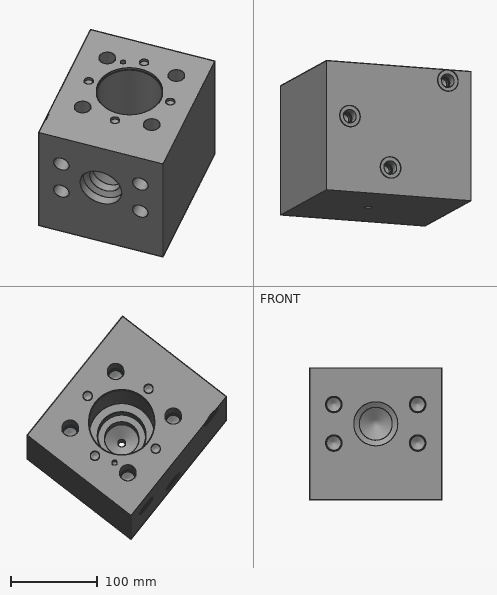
import cadquery as cq
import math

width = 152.4
length = 177.8
height = 152.4
front_y = -length / 2
top_z = height / 2
left_x = -width / 2

drill_half_angle = math.radians(59)

bore_x = 0.0
bore_y = 9.5
bore_mouth_diameter = 76.6
bore_mouth_depth = 2.8
bore_diameter = 75.4
bore_depth = 87.0
seat_mouth_diameter = 56.5
seat_diameter = 55.0
seat_depth = 104.9
pilot_diameter = 39.6
pilot_depth = 124.5
drain_diameter = 8.9

bolt_diameter = 19.0
bolt_thread_depth = 32.0
bolt_drill_diameter = 16.7
bolt_drill_depth = 40.0
top_bolt_offset = 42.3

dimple_diameter = 10.7
dimple_depth = 3.5
dimple_radius = 50.0
locating_diameter = 6.0
locating_depth = 8.0
locating_x = -23.0

flange_z = 11.7
flange_diameter = 50.9
flange_depth = 11.0
flange_drill_diameter = 38.0
flange_drill_depth = 25.8
flange_bolt_x = 48.4
flange_bolt_z = 22.2

spotface_diameter = 25.0
spotface_depth = 1.0
port_mouth_diameter = 15.6
port_taper_depth = 2.5
port_thread_diameter = 14.2
port_thread_depth = 13.3
port_tap_diameter = 13.0
port_tap_depth = 16.0
port_drill_diameter = 12.3
port_drill_depth = 21.3
port_places = [(60.0, 12.8), (-60.6, 63.5), (10.0, -44.1)]


def tip_height(diameter):
    """Height of a drill point of the given diameter."""
    return diameter / 2 / math.tan(drill_half_angle)


def stepped_hole(stations):
    """Round cutter down from the origin through (diameter, depth) stations to a drill point."""
    last_diameter, last_depth = stations[-1]
    outline = [(0, 0)]
    outline += [(diameter / 2, -depth) for diameter, depth in stations]
    outline.append((0, -last_depth - tip_height(last_diameter)))
    profile = cq.Workplane("XZ").polyline(outline).close()
    return profile.revolve(360, (0, 0, 0), (0, 1, 0))


def on_top(cutter, x, y):
    return cutter.translate((x, y, top_z))


def on_front(cutter, x, z):
    return cutter.rotate((0, 0, 0), (1, 0, 0), 90).translate((x, front_y, z))


def on_left(cutter, y, z):
    return cutter.rotate((0, 0, 0), (0, 1, 0), -90).translate((left_x, y, z))


def main_bore():
    bore_chamfer = (bore_mouth_diameter - bore_diameter) / 2
    seat_chamfer = (seat_mouth_diameter - seat_diameter) / 2
    cutter = stepped_hole([
        (bore_mouth_diameter, 0),
        (bore_mouth_diameter, bore_mouth_depth),
        (bore_diameter, bore_mouth_depth + bore_chamfer),
        (bore_diameter, bore_depth),
        (seat_mouth_diameter, bore_depth),
        (seat_diameter, bore_depth + seat_chamfer),
        (seat_diameter, seat_depth),
        (pilot_diameter, seat_depth),
        (pilot_diameter, pilot_depth),
    ])
    drain = cq.Workplane("XY").circle(drain_diameter / 2).extrude(-height)
    return on_top(cutter.union(drain), bore_x, bore_y)


def bolt_hole():
    return stepped_hole([
        (bolt_diameter, 0),
        (bolt_diameter, bolt_thread_depth),
        (bolt_drill_diameter, bolt_thread_depth),
        (bolt_drill_diameter, bolt_drill_depth),
    ])


def plain_hole(diameter, depth):
    return stepped_hole([(diameter, 0), (diameter, depth)])


def flange_port():
    neck_depth = flange_depth + tip_height(flange_diameter) - tip_height(flange_drill_diameter)
    return stepped_hole([
        (flange_diameter, 0),
        (flange_diameter, flange_depth),
        (flange_drill_diameter, neck_depth),
        (flange_drill_diameter, flange_drill_depth),
    ])


def side_port():
    taper_end = spotface_depth + port_taper_depth
    return stepped_hole([
        (spotface_diameter, 0),
        (spotface_diameter, spotface_depth),
        (port_mouth_diameter, spotface_depth),
        (port_thread_diameter, taper_end),
        (port_thread_diameter, port_thread_depth),
        (port_tap_diameter, port_thread_depth),
        (port_tap_diameter, port_tap_depth),
        (port_drill_diameter, port_tap_depth),
        (port_drill_diameter, port_drill_depth),
    ])


result = cq.Workplane("XY").box(width, length, height)

result = result.cut(main_bore())
for side_x in (-1, 1):
    for side_y in (-1, 1):
        bolt_y = bore_y + side_y * top_bolt_offset
        result = result.cut(on_top(bolt_hole(), bore_x + side_x * top_bolt_offset, bolt_y))
for step_x, step_y in ((1, 0), (0, 1), (-1, 0), (0, -1)):
    dimple = plain_hole(dimple_diameter, dimple_depth)
    result = result.cut(on_top(dimple, bore_x + step_x * dimple_radius, bore_y + step_y * dimple_radius))
locating_hole = plain_hole(locating_diameter, locating_depth)
result = result.cut(on_top(locating_hole, locating_x, bore_y + top_bolt_offset))

result = result.cut(on_front(flange_port(), bore_x, flange_z))
for side_x in (-1, 1):
    for side_z in (-1, 1):
        bolt_z = flange_z + side_z * flange_bolt_z
        result = result.cut(on_front(bolt_hole(), bore_x + side_x * flange_bolt_x, bolt_z))

for port_y, port_z in port_places:
    result = result.cut(on_left(side_port(), port_y, port_z))